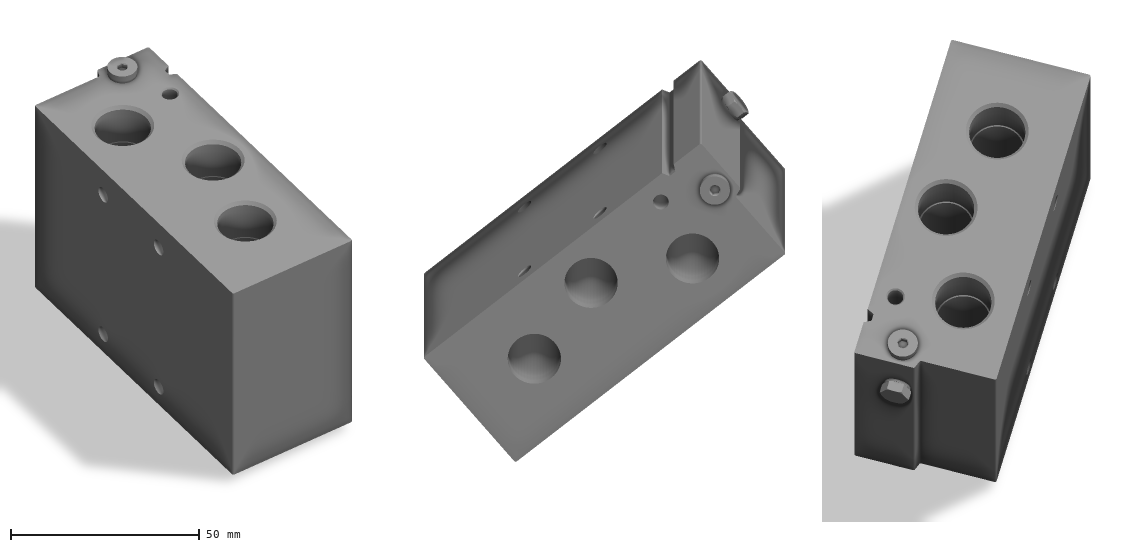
import cadquery as cq
import math

block_length = 93.1
block_depth = 38.5
block_height = 63.5
edge_radius = 0.5

ledge_reach = 2.5
ledge_corner_from_back = 16.6
ledge_slant_angle = 20.0

groove_mouth_width = 4.0
groove_floor_width = 2.0
groove_depth = 1.9
groove_x = 8.85

port_positions = [(20.0, 14.7), (45.2, 26.5), (70.5, 19.5)]
port_mouth_diameter = 16.7
port_thread_diameter = 14.95
port_thread_depth = 12.0
port_bore_diameter = 14.15

small_hole_x = 16.3
small_hole_from_back = 6.1
small_hole_mouth_diameter = 5.0
small_hole_diameter = 4.2

mounting_hole_diameter = 4.5
mounting_hole_xs = [32.2, 58.2]
mounting_hole_zs = [6.2, 55.0]

plug_x = 2.6
plug_from_back = 12.0
plug_diameter = 8.0
plug_height = 2.5
plug_collar_diameter = 7.8
plug_collar_height = 0.7
socket_flats = 2.5
socket_mouth_diameter = 3.1
socket_depth = 1.5

screw_from_back = plug_from_back
screw_z = 50.2
screw_flats = 7.0
screw_head_height = 2.8
screw_end_diameter = 7.2
screw_trim_angle = 30.0
screw_collar_diameter = 7.2
screw_collar_height = 0.7


def hex_corner_diameter(flats):
    return flats / math.cos(math.pi / 6)


def countersunk_bore(x, y, mouth_diameter, bore_diameter, depth):
    """Cutter going down from the top face, with a 45 degree mouth."""
    mouth_radius = mouth_diameter / 2
    bore_radius = bore_diameter / 2
    mouth_depth = mouth_radius - bore_radius
    return (
        cq.Workplane("XZ")
        .lineTo(mouth_radius, 0)
        .lineTo(bore_radius, -mouth_depth)
        .lineTo(bore_radius, -depth)
        .lineTo(0, -depth)
        .close()
        .revolve(360, (0, 0, 0), (0, 1, 0))
        .translate((x, y, block_height))
    )


def make_block():
    slant_drop = ledge_reach * math.tan(math.radians(ledge_slant_angle))
    ledge_corner_y = block_depth - ledge_corner_from_back
    block = (
        cq.Workplane("XY")
        .lineTo(block_length, 0)
        .lineTo(block_length, block_depth)
        .lineTo(-ledge_reach, block_depth)
        .lineTo(-ledge_reach, ledge_corner_y)
        .lineTo(0, ledge_corner_y - slant_drop)
        .close()
        .extrude(block_height)
        .edges("|Z")
        .fillet(edge_radius)
    )

    groove = (
        cq.Workplane("XY")
        .center(groove_x, block_depth)
        .moveTo(-groove_mouth_width / 2, 0)
        .lineTo(-groove_floor_width / 2, -groove_depth)
        .lineTo(groove_floor_width / 2, -groove_depth)
        .lineTo(groove_mouth_width / 2, 0)
        .close()
        .extrude(block_height)
    )
    block = block.cut(groove)

    for x, y in port_positions:
        block = block.cut(
            countersunk_bore(x, y, port_mouth_diameter, port_thread_diameter, port_thread_depth)
        )
    port_bores = (
        cq.Workplane("XY")
        .pushPoints(port_positions)
        .circle(port_bore_diameter / 2)
        .extrude(block_height)
    )
    block = block.cut(port_bores)

    small_hole = countersunk_bore(
        small_hole_x,
        block_depth - small_hole_from_back,
        small_hole_mouth_diameter,
        small_hole_diameter,
        block_height,
    )
    block = block.cut(small_hole)

    mounting_holes = (
        cq.Workplane("XZ")
        .pushPoints([(x, z) for x in mounting_hole_xs for z in mounting_hole_zs])
        .circle(mounting_hole_diameter / 2)
        .extrude(-block_depth)
    )
    return block.cut(mounting_holes)


def make_plug():
    """Plug seated on z = 0, socket facing up."""
    plug = (
        cq.Workplane("XY")
        .circle(plug_collar_diameter / 2)
        .extrude(plug_collar_height)
        .faces(">Z")
        .workplane()
        .circle(plug_diameter / 2)
        .extrude(plug_height - plug_collar_height)
    )
    socket = (
        cq.Workplane("XY")
        .workplane(offset=plug_height - socket_depth)
        .transformed(rotate=(0, 0, 90))
        .polygon(6, hex_corner_diameter(socket_flats))
        .extrude(socket_depth)
    )
    mouth_radius = socket_mouth_diameter / 2
    flat_radius = socket_flats / 2
    mouth_depth = mouth_radius - flat_radius
    socket_mouth = cq.Workplane(
        cq.Solid.makeCone(flat_radius, mouth_radius, mouth_depth)
    ).translate((0, 0, plug_height - mouth_depth))
    return plug.cut(socket).cut(socket_mouth)


def place_plugs():
    """One plug on the top face and its mirror image on the bottom face."""
    plug_y = block_depth - plug_from_back
    top_plug = make_plug().translate((plug_x, plug_y, block_height))
    bottom_plug = top_plug.mirror("XY", (0, 0, block_height / 2))
    return [top_plug, bottom_plug]


def make_screw():
    """Hex head on a round collar, seated on the ledge face and pointing to -X."""
    collar = (
        cq.Workplane("XY")
        .circle(screw_collar_diameter / 2)
        .extrude(screw_collar_height)
    )
    corner_diameter = hex_corner_diameter(screw_flats)
    head = (
        cq.Workplane("XY")
        .workplane(offset=screw_collar_height)
        .transformed(rotate=(0, 0, 90))
        .polygon(6, corner_diameter)
        .extrude(screw_head_height)
    )
    trim_width = (corner_diameter - screw_end_diameter) / 2
    trim_height = trim_width * math.tan(math.radians(screw_trim_angle))
    corner_envelope = (
        cq.Workplane("XY")
        .workplane(offset=screw_collar_height)
        .circle(corner_diameter / 2)
        .extrude(screw_head_height)
        .faces("<Z or >Z")
        .chamfer(trim_height, trim_width)
    )
    screw = collar.union(head.intersect(corner_envelope))
    return (
        screw.rotate((0, 0, 0), (0, 1, 0), -90)
        .translate((-ledge_reach, block_depth - screw_from_back, screw_z))
    )


block = make_block()
plugs = place_plugs()
screw = make_screw()

result = cq.Compound.makeCompound(
    [block.val(), screw.val(), *[plug.val() for plug in plugs]]
)